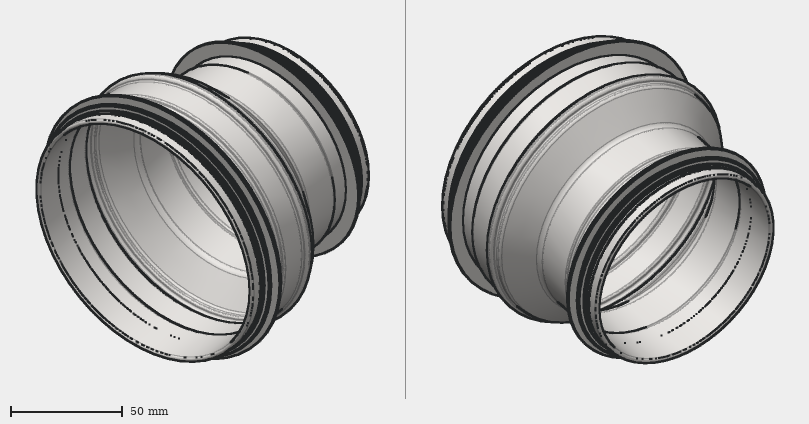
import cadquery as cq
import math

length = 101.0
outer_radius = 67.2
wall = 0.5
large_radius = 124.1 / 2
small_radius = 48.7
large_seat_radius = 60.2
small_seat_radius = 47.7
hem_rise = large_radius - large_seat_radius
hem_end = 5.8
fold_radius = (hem_rise + wall) / 2

seat_bend = 1.3
large_step_start = 22.3
large_step_end = 23.4
cone_start = 44.4
cone_end = 57.0
cone_large_bend = 2.4
cone_small_bend = 3.8
small_step_start = 76.6
small_step_end = small_step_start + small_radius - small_seat_radius

bead_center = 39.0
bead_foot_half_width = 2.5
bead_top_half_width = 1.9
bead_top_bend = 2.0
bead_top_radius = large_radius + 2.3
bead_foot_bend = 0.8

gasket_thickness = hem_rise - wall
fin_top = 1.14
ring_top = 3.2
lip_top = outer_radius - large_seat_radius - gasket_thickness
fin_width = 1.1
ring_width = 1.3
lip_width = 1.3
lip_step_width = 0.5
lip_step_top = 0.7
ring_chamfer = 0.5
large_fin_place = 7.0
small_fin_place = 7.9
fin_to_ring = 1.9
fin_to_lip = 5.9


def revolve(sketch):
    """Turn a profile drawn as (radius, Y) around the Y axis."""
    return sketch.close().revolve(360, (0, 0, 0), (0, 1, 0))


def unit(start, end):
    span = math.dist(start, end)
    return (end[0] - start[0]) / span, (end[1] - start[1]) / span


def offset_corners(corners, distance):
    """Shift a path of (radius, Y, bend) corners inward, keeping the bends concentric."""
    last = len(corners) - 1
    shifted = []
    for i, (radius, y, bend) in enumerate(corners):
        j = max(i, 1)
        k = min(i, last - 1)
        in_r, in_y = unit(corners[j - 1][:2], corners[j][:2])
        out_r, out_y = unit(corners[k][:2], corners[k + 1][:2])
        miter = distance / (1 + in_r * out_r + in_y * out_y)
        turn = in_r * out_y - in_y * out_r
        new_bend = bend + math.copysign(distance, -turn) if bend else 0
        shifted.append((radius - (in_y + out_y) * miter, y + (in_r + out_r) * miter, new_bend))
    return shifted


def draw_bent_path(sketch, corners):
    """Continue a sketch through the corners, each rounded by its bend radius."""
    for before, corner, after in zip(corners, corners[1:], corners[2:]):
        radius, y, bend = corner
        in_r, in_y = unit(before[:2], corner[:2])
        out_r, out_y = unit(corner[:2], after[:2])
        half_turn = math.acos(in_r * out_r + in_y * out_y) / 2
        trim = bend * math.tan(half_turn)
        arc_start = (radius - in_r * trim, y - in_y * trim)
        arc_end = (radius + out_r * trim, y + out_y * trim)
        pull = bend * (1 / math.cos(half_turn) - 1) / (2 * math.sin(half_turn))
        arc_middle = (radius + (out_r - in_r) * pull, y + (out_y - in_y) * pull)
        sketch = sketch.lineTo(*arc_start).threePointArc(arc_middle, arc_end)
    return sketch.lineTo(*corners[-1][:2])


def make_hem(seat_radius, pipe_end, inward):
    """Wall folded back over the seat; inward is the Y direction into the pipe."""
    hem_radius = seat_radius + hem_rise
    fold_center = hem_radius - fold_radius
    fold_y = pipe_end + inward * fold_radius
    end_y = pipe_end + inward * hem_end
    return revolve(
        cq.Workplane("XY")
        .moveTo(seat_radius, fold_y)
        .threePointArc((fold_center, pipe_end + inward * wall), (hem_radius - wall, fold_y))
        .lineTo(hem_radius - wall, end_y)
        .lineTo(hem_radius, end_y)
        .lineTo(hem_radius, fold_y)
        .threePointArc((fold_center, pipe_end), (seat_radius - wall, fold_y))
    )


def make_shell():
    bead_foot_start = bead_center - bead_foot_half_width
    bead_foot_end = bead_center + bead_foot_half_width
    bead_top_start = bead_center - bead_top_half_width
    bead_top_end = bead_center + bead_top_half_width
    outside = [
        (large_seat_radius, fold_radius, 0),
        (large_seat_radius, large_step_start, seat_bend),
        (large_radius, large_step_end, seat_bend),
        (large_radius, bead_foot_start, bead_foot_bend),
        (bead_top_radius, bead_top_start, bead_top_bend),
        (bead_top_radius, bead_top_end, bead_top_bend),
        (large_radius, bead_foot_end, bead_foot_bend),
        (large_radius, cone_start, cone_large_bend),
        (small_radius, cone_end, cone_small_bend),
        (small_radius, small_step_start, seat_bend),
        (small_seat_radius, small_step_end, seat_bend),
        (small_seat_radius, length - fold_radius, 0),
    ]
    inside = offset_corners(outside, wall)[::-1]
    sketch = draw_bent_path(cq.Workplane("XY").moveTo(*outside[0][:2]), outside)
    sketch = draw_bent_path(sketch.lineTo(*inside[0][:2]), inside)
    large_hem = make_hem(large_seat_radius, 0, 1)
    small_hem = make_hem(small_seat_radius, length, -1)
    return revolve(sketch).union(large_hem).union(small_hem)


def make_gasket(seat_radius, pipe_end, inward, fin_place):
    """Band clamped under the hem, with a low fin, a ring and a tall lip."""
    band_radius = seat_radius + gasket_thickness
    ring_place = fin_place + fin_to_ring
    lip_place = fin_place + fin_to_lip
    lip_end = lip_place + lip_width
    outline = [
        (seat_radius, fold_radius),
        (band_radius, fold_radius),
        (band_radius, fin_place),
        (band_radius + fin_top, fin_place),
        (band_radius + fin_top, fin_place + fin_width),
        (band_radius, fin_place + fin_width),
        (band_radius, ring_place),
        (band_radius + ring_top - ring_chamfer, ring_place),
        (band_radius + ring_top, ring_place + ring_chamfer),
        (band_radius + ring_top, ring_place + ring_width),
        (band_radius, ring_place + ring_width),
        (band_radius, lip_place - lip_step_width),
        (band_radius + lip_step_top, lip_place - lip_step_width),
        (band_radius + lip_step_top, lip_place),
        (band_radius + lip_top, lip_place),
        (band_radius + lip_top, lip_end),
        (seat_radius, lip_end),
    ]
    points = [(radius, pipe_end + inward * place) for radius, place in outline]
    return revolve(cq.Workplane("XY").polyline(points))


shell = make_shell()
large_gasket = make_gasket(large_seat_radius, 0, 1, large_fin_place)
small_gasket = make_gasket(small_seat_radius, length, -1, small_fin_place)

result = cq.Compound.makeCompound([shell.val(), large_gasket.val(), small_gasket.val()])